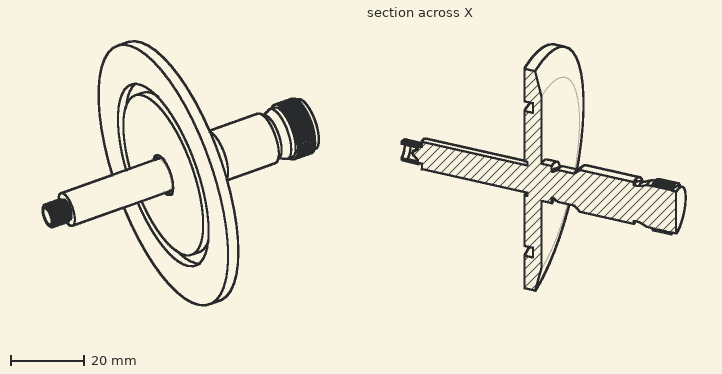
import cadquery as cq


overall_length = 80.1

flange_diameter = 74.9
flange_radius = flange_diameter / 2
flange_rim_width = 3.2
flange_thickness = 5.05
flange_back_radius = 29.3
groove_outer_radius = 26.2
groove_inner_radius = 23.1
groove_depth = 2.4
recess_radius = 5.8
recess_depth = 0.8

rod_radius = 4.7
rod_end = -29.9
small_root_radius = 2.9
small_crest_radius = 3.3
small_pitch = 0.58
small_thread_count = 9
small_end = -35.8
small_plain_tip = 0.1
small_thread_start = small_end + small_plain_tip

socket_radius = 2.4
socket_step_depth = 1.8
socket_inner_radius = 2.25
socket_depth = 4.8
contact_base_radius = 1.9
contact_base_height = 0.4
contact_cone_radius = 1.6
contact_cone_height = 0.8
contact_tip_radius = 0.7
contact_tip_height = 0.25
contact_point_radius = 0.4
contact_point_height = 0.25

boss_radius = 6.4
boss_end = 8.0
neck_radius = 4.5
neck_end = 8.25
collar_radius = 5.5
collar_start = 9.8
collar_end = 14.5
body_radius = 7.2
body_start = 16.2
body_end = 31.9
waist_radius = 6.2
waist_end = 33.3
head_start = 35.75
rear_end = small_end + overall_length
large_crest_radius = 7.9
large_pitch = 0.665
large_thread_count = 9
large_plain_tip = 1.2
large_thread_start = rear_end - large_plain_tip - large_thread_count * large_pitch


def revolve_about_y(points):
    """Revolve a closed (radius, y) outline a full turn about the Y axis."""
    return cq.Workplane("XY").polyline(points).close().revolve(360, (0, 0, 0), (0, 1, 0))


def thread_outline(root_radius, crest_radius, pitch, count, start):
    """Points of a row of V-shaped ridges running from start toward +Y."""
    points = [(root_radius, start)]
    for ridge in range(count):
        ridge_start = start + ridge * pitch
        points.append((crest_radius, ridge_start + pitch / 2))
        points.append((root_radius, ridge_start + pitch))
    return points


def make_flange():
    return revolve_about_y([
        (0, 0),
        (flange_radius, 0),
        (flange_radius, flange_rim_width),
        (flange_back_radius, flange_thickness),
        (0, flange_thickness),
    ])


def ring_cut(inner_radius, outer_radius, depth):
    """Ring-shaped cutter sunk into the sealing face."""
    return revolve_about_y([
        (inner_radius, 0),
        (outer_radius, 0),
        (outer_radius, depth),
        (inner_radius, depth),
    ])


def make_front_rod():
    thread = thread_outline(
        small_root_radius, small_crest_radius, small_pitch, small_thread_count, small_thread_start
    )
    return revolve_about_y([
        (0, small_end),
        (small_root_radius, small_end),
        *thread,
        (small_root_radius, rod_end),
        (rod_radius, rod_end),
        (rod_radius, flange_thickness),
        (0, flange_thickness),
    ])


def make_socket_cut():
    step = small_end + socket_step_depth
    floor = small_end + socket_depth
    base_top = floor - contact_base_height
    cone_top = base_top - contact_cone_height
    tip_top = cone_top - contact_tip_height
    return revolve_about_y([
        (0, small_end),
        (socket_radius, small_end),
        (socket_radius, step),
        (socket_inner_radius, step),
        (socket_inner_radius, floor),
        (contact_base_radius, floor),
        (contact_base_radius, base_top),
        (contact_cone_radius, base_top),
        (contact_tip_radius, cone_top),
        (contact_tip_radius, tip_top),
        (contact_point_radius, tip_top),
        (0, tip_top - contact_point_height),
    ])


def make_rear_connector():
    thread = thread_outline(
        body_radius, large_crest_radius, large_pitch, large_thread_count, large_thread_start
    )
    return revolve_about_y([
        (0, flange_thickness),
        (boss_radius, flange_thickness),
        (boss_radius, boss_end),
        (neck_radius, boss_end),
        (neck_radius, neck_end),
        (collar_radius, collar_start),
        (collar_radius, collar_end),
        (body_radius, body_start),
        (body_radius, body_end),
        (waist_radius, body_end),
        (waist_radius, waist_end),
        (body_radius, head_start),
        *thread,
        (body_radius, rear_end),
        (0, rear_end),
    ])


flange = make_flange()
flange = flange.cut(ring_cut(groove_inner_radius, groove_outer_radius, groove_depth))
flange = flange.cut(ring_cut(rod_radius, recess_radius, recess_depth))

result = flange.union(make_front_rod()).union(make_rear_connector()).cut(make_socket_cut())